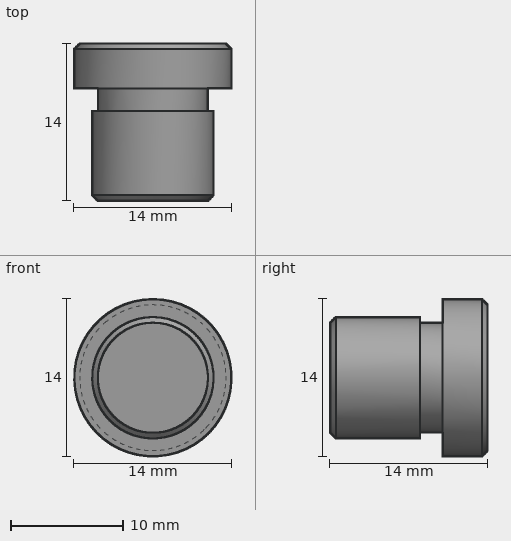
import cadquery as cq

head_diameter = 14.0
head_length = 4.0
shank_diameter = 10.8
shank_length = 8.0
groove_width = 2.0
groove_depth = 0.5
chamfer = 0.5

head_radius = head_diameter / 2
shank_radius = shank_diameter / 2
groove_radius = shank_radius - groove_depth

head_end = head_length
groove_end = -groove_width
tip = groove_end - shank_length


def turned_pin():
    """Revolve the half profile, given as (Y, Z) points, about the Y axis."""
    profile = (
        cq.Workplane("YZ")
        .moveTo(tip, 0)
        .lineTo(tip, shank_radius - chamfer)
        .lineTo(tip + chamfer, shank_radius)
        .lineTo(groove_end, shank_radius)
        .lineTo(groove_end, groove_radius)
        .lineTo(0, groove_radius)
        .lineTo(0, head_radius)
        .lineTo(head_end - chamfer, head_radius)
        .lineTo(head_end, head_radius - chamfer)
        .lineTo(head_end, 0)
        .close()
    )
    return profile.revolve(360, (0, 0, 0), (1, 0, 0))


result = turned_pin()